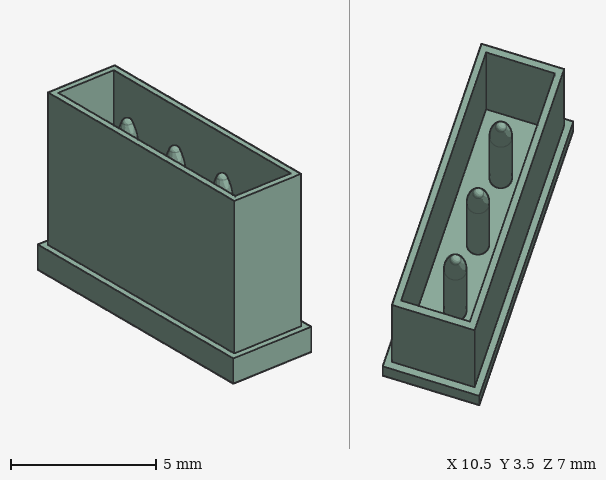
import cadquery as cq

flange_length = 10.5
flange_width = 3.5
flange_height = 1.0

total_height = 7.0
flange_ledge = 0.25
wall = 0.25
shroud_length = flange_length - 2 * flange_ledge
shroud_width = flange_width - 2 * flange_ledge
cavity_length = shroud_length - 2 * wall
cavity_width = shroud_width - 2 * wall
floor_height = flange_height

pin_count = 3
pin_pitch = 2.54
pin_diameter = 0.79
tip_diameter = 0.38
tip_recess = 0.5
taper_height = 1.0
dome_height = 0.15


def make_housing():
    """Flange and shroud, open at the top."""
    flange = cq.Workplane("XY").rect(flange_length, flange_width).extrude(flange_height)
    shroud = cq.Workplane("XY").rect(shroud_length, shroud_width).extrude(total_height)
    cavity = (
        cq.Workplane("XY")
        .workplane(offset=floor_height)
        .rect(cavity_length, cavity_width)
        .extrude(total_height - floor_height)
    )
    return flange.union(shroud).cut(cavity)


def make_pin():
    """Round pin with a rounded taper and a domed tip, rooted at the underside of the flange."""
    pin_top = total_height - tip_recess
    taper_top = pin_top - dome_height
    pin_radius = pin_diameter / 2
    tip_radius = tip_diameter / 2
    taper_step = pin_radius - tip_radius
    taper_arc_radius = (taper_step**2 + taper_height**2) / (2 * taper_step)
    dome_radius = (tip_radius**2 + dome_height**2) / (2 * dome_height)
    return (
        cq.Workplane("XZ")
        .lineTo(pin_radius, 0)
        .lineTo(pin_radius, taper_top - taper_height)
        .radiusArc((tip_radius, taper_top), -taper_arc_radius)
        .radiusArc((0, pin_top), -dome_radius)
        .close()
        .revolve(360, (0, 0, 0), (0, 1, 0))
    )


result = make_housing()
pin = make_pin()
for index in range(pin_count):
    pin_x = (index - (pin_count - 1) / 2) * pin_pitch
    result = result.union(pin.translate((pin_x, 0, 0)))